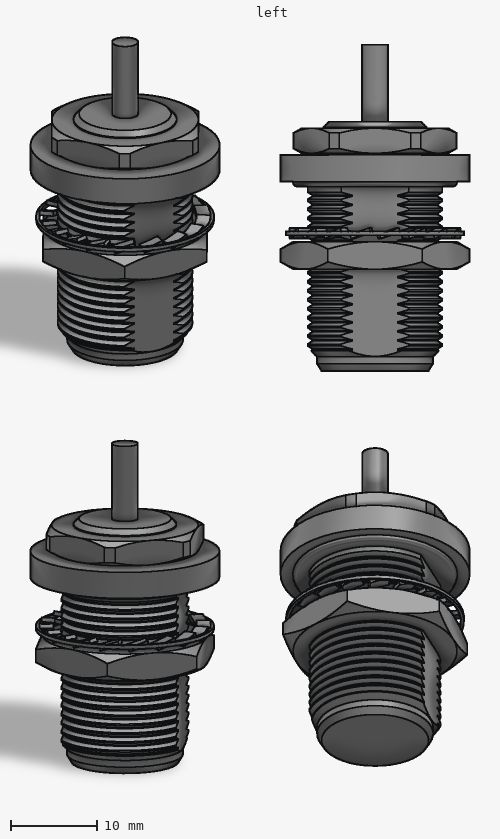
import cadquery as cq
import math

TOTAL_HEIGHT = 37.92

NOSE_TIP_RADIUS = 6.2
NOSE_RADIUS = 6.75
NOSE_CHAMFER_TOP = 0.87
THREAD_START = 1.65

THREAD_RADIUS = 7.85
THREAD_ROOT_RADIUS = 7.28
THREAD_PITCH = 1.05
CREST_WIDTH = 0.2
ROOT_WIDTH = 0.1
GROOVE_COUNT = 18
TOP_GROOVE_Z = 20.35
FLAT_DISTANCE = 6.8

SHOULDER_RADIUS = 9.55
SHOULDER_BOTTOM = 21.42
FLANGE_RADIUS = 11.0
FLANGE_BOTTOM = 22.0
FLANGE_TOP = 25.1

NECK_RADIUS = 5.42
HEX_BOTTOM = 25.3
HEX_TOP = 28.2
HEX_ACROSS_FLATS = 17.03
HEX_CORNER_RADIUS = 9.48
HEX_CHAMFER_ANGLE = 30.0

COLLAR_RADIUS = 6.0
COLLAR_RIM_TOP = 28.33
COLLAR_TOP_RADIUS = 5.35
COLLAR_TOP = 28.97
CABLE_RADIUS = 1.5

NUT_BOTTOM = 11.85
NUT_TOP = 15.0
NUT_ACROSS_FLATS = 19.05

WASHER_MID_Z = 16.0
WASHER_THICKNESS = 0.45
WASHER_OUTER_RADIUS = 10.35
WASHER_RING_INNER_RADIUS = 9.97
TOOTH_INNER_RADIUS = 8.35
TOOTH_COUNT = 18
TOOTH_WIDTH = 2.4
TOOTH_THICKNESS = 0.53
TOOTH_TILT = 18.0


def disc(radius, bottom, top):
    """Solid cylinder on the Z axis between two heights."""
    return cq.Workplane("XY").workplane(offset=bottom).circle(radius).extrude(top - bottom)


def revolved(points):
    """Solid of revolution about Z from an outline of (radius, z) points."""
    return cq.Workplane("XZ").polyline(points).close().revolve(360, (0, 0), (0, 1))


def hexagon(across_flats, bottom, top, corner_radius):
    """Hexagonal prism with corners on the Y axis, its ends chamfered at its corners."""
    corner_distance = across_flats / math.sqrt(3)
    prism = (
        cq.Workplane("XY")
        .workplane(offset=bottom)
        .polygon(6, 2 * corner_distance)
        .extrude(top - bottom)
        .rotate((0, 0, 0), (0, 0, 1), 30)
    )
    face_radius = across_flats / 2
    drop = (corner_radius - face_radius) * math.tan(math.radians(HEX_CHAMFER_ANGLE))
    envelope = revolved([
        (0, bottom),
        (face_radius, bottom),
        (corner_radius, bottom + drop),
        (corner_radius, top - drop),
        (face_radius, top),
        (0, top),
    ])
    return prism.intersect(envelope)


def threaded_barrel():
    """Barrel with its 45 degree lead-in, ring grooves and two flats."""
    lead_height = THREAD_RADIUS - NOSE_RADIUS
    barrel = revolved([
        (0, THREAD_START),
        (NOSE_RADIUS, THREAD_START),
        (THREAD_RADIUS, THREAD_START + lead_height),
        (THREAD_RADIUS, SHOULDER_BOTTOM),
        (0, SHOULDER_BOTTOM),
    ])
    half_opening = (THREAD_PITCH - CREST_WIDTH) / 2
    half_root = ROOT_WIDTH / 2
    for index in range(GROOVE_COUNT):
        z = TOP_GROOVE_Z - index * THREAD_PITCH
        barrel = barrel.cut(revolved([
            (THREAD_ROOT_RADIUS, z - half_root),
            (THREAD_RADIUS, z - half_opening),
            (THREAD_RADIUS, z + half_opening),
            (THREAD_ROOT_RADIUS, z + half_root),
        ]))
    between_flats = cq.Workplane("XY").box(
        2 * FLAT_DISTANCE, 2 * THREAD_RADIUS, SHOULDER_BOTTOM, centered=(True, True, False)
    )
    return barrel.intersect(between_flats)


def nose():
    return revolved([
        (0, 0),
        (NOSE_TIP_RADIUS, 0),
        (NOSE_RADIUS, NOSE_CHAMFER_TOP),
        (NOSE_RADIUS, THREAD_START),
        (0, THREAD_START),
    ])


def flange():
    """Flange, with a shoulder below it whose rim is a quarter round over its full height."""
    rounding = FLANGE_BOTTOM - SHOULDER_BOTTOM
    outline = (
        cq.Workplane("XZ")
        .moveTo(0, SHOULDER_BOTTOM)
        .lineTo(SHOULDER_RADIUS - rounding, SHOULDER_BOTTOM)
        .radiusArc((SHOULDER_RADIUS, FLANGE_BOTTOM), -rounding)
        .lineTo(FLANGE_RADIUS, FLANGE_BOTTOM)
        .lineTo(FLANGE_RADIUS, FLANGE_TOP)
        .lineTo(0, FLANGE_TOP)
        .close()
    )
    return outline.revolve(360, (0, 0), (0, 1))


def collar_and_cable():
    return revolved([
        (0, HEX_TOP),
        (COLLAR_RADIUS, HEX_TOP),
        (COLLAR_RADIUS, COLLAR_RIM_TOP),
        (COLLAR_TOP_RADIUS, COLLAR_TOP),
        (CABLE_RADIUS, COLLAR_TOP),
        (CABLE_RADIUS, TOTAL_HEIGHT),
        (0, TOTAL_HEIGHT),
    ])


def make_connector():
    """Connector with its clamping nut, as one solid."""
    nut_corner_radius = NUT_ACROSS_FLATS / math.sqrt(3)
    return (
        nose()
        .union(threaded_barrel())
        .union(hexagon(NUT_ACROSS_FLATS, NUT_BOTTOM, NUT_TOP, nut_corner_radius))
        .union(flange())
        .union(disc(NECK_RADIUS, FLANGE_TOP, HEX_BOTTOM))
        .union(hexagon(HEX_ACROSS_FLATS, HEX_BOTTOM, HEX_TOP, HEX_CORNER_RADIUS))
        .union(collar_and_cable())
    )


def annulus(outer_radius, inner_radius, height):
    """Flat ring on the Z axis, centred on Z = 0."""
    return (
        cq.Workplane("XY")
        .workplane(offset=-height / 2)
        .circle(outer_radius)
        .circle(inner_radius)
        .extrude(height)
    )


def washer_tooth():
    """One inward tooth on the +X side, twisted about its radial centre line."""
    plate = (
        cq.Workplane("XY")
        .box(WASHER_OUTER_RADIUS, TOOTH_WIDTH, TOOTH_THICKNESS, centered=(False, True, True))
        .rotate((0, 0, 0), (1, 0, 0), TOOTH_TILT)
    )
    return plate.intersect(annulus(WASHER_RING_INNER_RADIUS, TOOTH_INNER_RADIUS, TOOTH_WIDTH))


def make_lock_washer():
    """Thin ring carrying evenly spaced twisted teeth on its inside."""
    washer = annulus(WASHER_OUTER_RADIUS, WASHER_RING_INNER_RADIUS, WASHER_THICKNESS)
    tooth = washer_tooth()
    tooth_pitch = 360 / TOOTH_COUNT
    for index in range(TOOTH_COUNT):
        washer = washer.union(tooth.rotate((0, 0, 0), (0, 0, 1), (index + 0.5) * tooth_pitch))
    return washer.translate((0, 0, WASHER_MID_Z))


connector = make_connector()
lock_washer = make_lock_washer()

result = cq.Compound.makeCompound([connector.val(), lock_washer.val()])